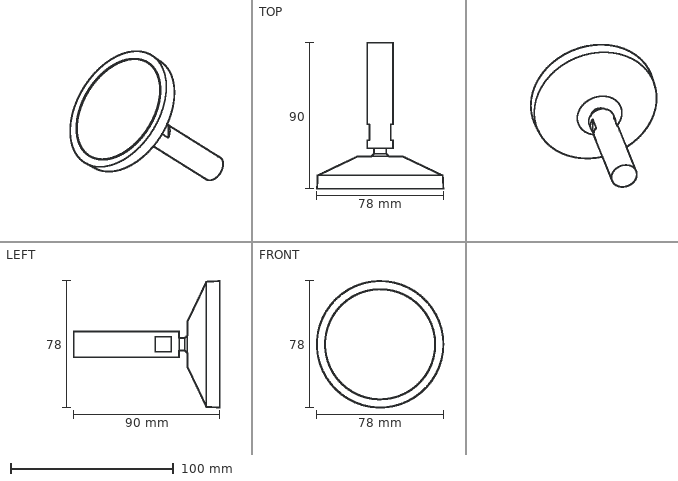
import cadquery as cq

TOTAL_LENGTH = 90.0

FOOT_DIAMETER = 78.0
RIM_TOP_DIAMETER = 77.2
FOOT_TOP_DIAMETER = 28.1
RIM_HEIGHT = 8.3
FOOT_HEIGHT = 20.0

GROOVE_OUTER_DIAMETER = 68.0
GROOVE_INNER_DIAMETER = 67.5
GROOVE_DEPTH = 0.5

SHAFT_DIAMETER = 16.0
SHAFT_START = 25.0
NECK_DIAMETER = 7.8
FLARE_DIAMETER = 11.0
FLARE_HEIGHT = 1.6

FLATS_START = 30.0
FLATS_LENGTH = 9.7
ACROSS_FLATS = 13.1


def revolve_about_y(profile):
    """Turn a closed outline of (radius, Y) points about the Y axis."""
    return cq.Workplane("XY").polyline(profile).close().revolve(360, (0, 0), (0, 1))


def make_ring_groove():
    """Ring of material to cut from the underside of the foot."""
    inner = GROOVE_INNER_DIAMETER / 2
    outer = GROOVE_OUTER_DIAMETER / 2
    return revolve_about_y([(inner, 0), (outer, 0), (outer, GROOVE_DEPTH), (inner, GROOVE_DEPTH)])


def make_foot():
    """Conical foot with a slightly tapered rim."""
    body = revolve_about_y([
        (0, 0),
        (FOOT_DIAMETER / 2, 0),
        (RIM_TOP_DIAMETER / 2, RIM_HEIGHT),
        (FOOT_TOP_DIAMETER / 2, FOOT_HEIGHT),
        (0, FOOT_HEIGHT),
    ])
    return body.cut(make_ring_groove())


def cut_wrench_flats(stud):
    """Cut a flat into each side of the shaft."""
    flat_depth = (SHAFT_DIAMETER - ACROSS_FLATS) / 2
    middle_x = (SHAFT_DIAMETER + ACROSS_FLATS) / 4
    middle_y = FLATS_START + FLATS_LENGTH / 2
    for side in (-1, 1):
        cutter = cq.Workplane("XY").box(flat_depth, FLATS_LENGTH, SHAFT_DIAMETER)
        stud = stud.cut(cutter.translate((side * middle_x, middle_y, 0)))
    return stud


def make_stud():
    """Round shaft on a narrow neck whose flared end rests on top of the foot."""
    flare_top = FOOT_HEIGHT + FLARE_HEIGHT
    stud = revolve_about_y([
        (0, FOOT_HEIGHT),
        (FLARE_DIAMETER / 2, FOOT_HEIGHT),
        (NECK_DIAMETER / 2, flare_top),
        (NECK_DIAMETER / 2, SHAFT_START),
        (SHAFT_DIAMETER / 2, SHAFT_START),
        (SHAFT_DIAMETER / 2, TOTAL_LENGTH),
        (0, TOTAL_LENGTH),
    ])
    return cut_wrench_flats(stud)


foot = make_foot()
stud = make_stud()
result = cq.Compound.makeCompound([foot.val(), stud.val()])